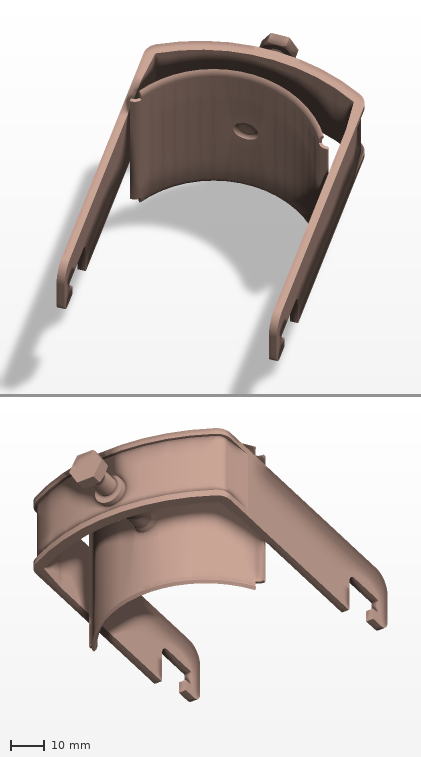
import cadquery as cq
import math


bracket_width = 69.0
bracket_height = 25.0
bracket_z = 2.7
leg_thickness = 2.5
crown_thickness = 3.4
crown_y = 99.7
crown_radius = 65.9
corner_radius = 5.0
inner_corner_radius = 0.7
taper_start_y = 77.3
corner_y = 87.0

web_depth = 1.0
web_height = 20.8

hook_top_radius = 6.0
hook_bottom_radius = 3.5
hook_depth = 19.9
slot_start_y = 4.9
slot_end_y = 21.1
slot_depth = 11.3
slot_radius = 3.0
lip_end_y = 8.0
lip_depth = 16.0
small_radius = 0.5

boss_diameter = 9.5
boss_z = -0.6
boss_top_y = 100.8

shank_diameter = 6.0
tip_diameter = 5.5
head_flats = 10.0
head_height = 4.0
head_top_y = 113.7
tip_y = 80.3

trough_height = 53.4
trough_top_y = 80.4
trough_radius = 33.4
sheet = 1.0
trough_half_angle = 59.0
lip_radius = 2.7
lip_angle = 50.0
foot_width = 62.0
foot_height = 46.8
foot_radius = 2.0
collar_top_y = 81.7
collar_base_y = 79.8
collar_base_diameter = 8.0
recess_mouth_diameter = 8.0
recess_mouth_y = 79.0
recess_floor_y = 80.6

RIGHT_SHOULDER = ">(1, 8, 0)"
LEFT_SHOULDER = ">(-1, 8, 0)"


def arc_point(centre_y, radius, x):
    """Height of the upper half of a circle centred on the Y axis."""
    return centre_y + math.sqrt(radius**2 - x**2)


def strip_outer_face(inset):
    """Solid filling the strip's outer outline, its crown and corners moved in by `inset`."""
    half = bracket_width / 2
    corner_x = half - inset
    radius = crown_radius - inset
    shoulder_y = arc_point(crown_y - crown_radius, radius, corner_x)
    outline = (
        cq.Workplane("XY")
        .moveTo(-half, 0)
        .lineTo(-half, taper_start_y)
        .lineTo(-corner_x, corner_y)
        .lineTo(-corner_x, shoulder_y)
        .threePointArc((0, crown_y - inset), (corner_x, shoulder_y))
        .lineTo(corner_x, corner_y)
        .lineTo(half, taper_start_y)
        .lineTo(half, 0)
        .close()
        .extrude(bracket_height / 2, both=True)
    )
    return outline.edges("|Z").edges(f"{RIGHT_SHOULDER} or {LEFT_SHOULDER}").fillet(corner_radius - inset)


def strip_inside():
    """Space between the legs and under the crown, taller than the strip."""
    half = bracket_width / 2 - leg_thickness
    corner_x = bracket_width / 2 - crown_thickness
    radius = crown_radius - crown_thickness
    shoulder_y = arc_point(crown_y - crown_radius, radius, corner_x)
    space = (
        cq.Workplane("XY")
        .moveTo(-half, 0)
        .lineTo(-half, taper_start_y)
        .lineTo(-corner_x, shoulder_y)
        .threePointArc((0, crown_y - crown_thickness), (corner_x, shoulder_y))
        .lineTo(half, taper_start_y)
        .lineTo(half, 0)
        .close()
        .extrude(bracket_height, both=True)
    )
    return space.edges("|Z").edges(f"{RIGHT_SHOULDER} or {LEFT_SHOULDER}").fillet(inner_corner_radius)


def leg_side_profile():
    """Side outline of the legs, with the hook cut into their ends."""
    top = bracket_height / 2
    profile = (
        cq.Workplane("YZ")
        .moveTo(head_top_y, top)
        .lineTo(hook_top_radius, top)
        .radiusArc((0, top - hook_top_radius), -hook_top_radius)
        .lineTo(0, top - hook_depth + hook_bottom_radius)
        .radiusArc((hook_bottom_radius, top - hook_depth), -hook_bottom_radius)
        .lineTo(lip_end_y, top - hook_depth)
        .lineTo(lip_end_y, top - lip_depth)
        .lineTo(slot_start_y + small_radius, top - lip_depth)
        .radiusArc((slot_start_y, top - lip_depth + small_radius), small_radius)
        .lineTo(slot_start_y, top - slot_depth - small_radius)
        .radiusArc((slot_start_y + small_radius, top - slot_depth), small_radius)
        .lineTo(slot_end_y - slot_radius, top - slot_depth)
        .radiusArc((slot_end_y, top - slot_depth - slot_radius), slot_radius)
        .lineTo(slot_end_y, -top + small_radius)
        .radiusArc((slot_end_y + small_radius, -top), -small_radius)
        .lineTo(head_top_y, -top)
        .close()
    )
    return profile.extrude(bracket_width, both=True)


def y_cylinder(diameter, start_y, end_y, z=0):
    """Cylinder along Y."""
    return (
        cq.Workplane("XZ", origin=(0, start_y, 0))
        .center(0, z)
        .circle(diameter / 2)
        .extrude(start_y - end_y)
    )


def make_bracket():
    """Strip with a sunk web, hooked legs, a boss on the crown and a bore for the screw."""
    outer = strip_outer_face(0)
    rim = outer.cut(strip_outer_face(web_depth))
    web_band = cq.Workplane("XY").box(2 * bracket_width, 3 * head_top_y, web_height)
    strip = outer.cut(strip_inside()).cut(rim.intersect(web_band))
    strip = strip.intersect(leg_side_profile()).translate((0, 0, bracket_z))
    boss = y_cylinder(boss_diameter, crown_y - crown_thickness / 2, boss_top_y, boss_z)
    bore = y_cylinder(shank_diameter, tip_y, head_top_y)
    return strip.union(boss).cut(bore)


def make_sheet():
    """Arched sheet with flared lips along its top and bottom edges."""
    inner = trough_radius - sheet
    outer_bend = lip_radius - sheet
    angle = math.radians(lip_angle)
    half = trough_height / 2
    bend_z = half - lip_radius * math.sin(angle)
    bend_r = inner + lip_radius

    def on_bend(radius, turn):
        return bend_r - radius * math.cos(turn), bend_z + radius * math.sin(turn)

    def mirrored(point):
        return point[0], -point[1]

    inner_mid, inner_tip = on_bend(lip_radius, angle / 2), on_bend(lip_radius, angle)
    outer_mid, outer_tip = on_bend(outer_bend, angle / 2), on_bend(outer_bend, angle)
    section = (
        cq.Workplane("XZ")
        .moveTo(inner, -bend_z)
        .lineTo(inner, bend_z)
        .threePointArc(inner_mid, inner_tip)
        .lineTo(*outer_tip)
        .threePointArc(outer_mid, (trough_radius, bend_z))
        .lineTo(trough_radius, -bend_z)
        .threePointArc(mirrored(outer_mid), mirrored(outer_tip))
        .lineTo(*mirrored(inner_tip))
        .threePointArc(mirrored(inner_mid), (inner, -bend_z))
        .close()
    )
    arch = section.revolve(2 * trough_half_angle, (0, 0, 0), (0, 1, 0))
    arch = arch.rotate((0, 0, 0), (0, 0, 1), 90 - trough_half_angle)
    return arch.translate((0, trough_top_y - trough_radius, 0))


def make_foot():
    """Foot bent outwards from the end of the arch on the +X side."""
    angle = math.radians(trough_half_angle)
    arch_y = trough_top_y - trough_radius
    bend_x = (trough_radius + foot_radius) * math.sin(angle)
    bend_y = arch_y + (trough_radius + foot_radius) * math.cos(angle)

    def on_bend(radius, turn):
        return bend_x - radius * math.sin(turn), bend_y - radius * math.cos(turn)

    outer_radius = foot_radius + sheet
    return (
        cq.Workplane("XY")
        .moveTo(*on_bend(foot_radius, angle))
        .threePointArc(on_bend(foot_radius, angle / 2), on_bend(foot_radius, 0))
        .lineTo(foot_width / 2, bend_y - foot_radius)
        .lineTo(foot_width / 2, bend_y - outer_radius)
        .lineTo(bend_x, bend_y - outer_radius)
        .threePointArc(on_bend(outer_radius, angle / 2), on_bend(outer_radius, angle))
        .close()
        .extrude(foot_height / 2, both=True)
    )


def y_cone(start_diameter, end_diameter, start_y, end_y):
    """Frustum along Y."""
    return cq.Workplane(
        cq.Solid.makeCone(
            start_diameter / 2, end_diameter / 2, end_y - start_y,
            cq.Vector(0, start_y, 0), cq.Vector(0, 1, 0),
        )
    )


def make_screw():
    """Hexagon head screw with a chamfered tip."""
    tip_chamfer = (shank_diameter - tip_diameter) / 2
    head_base_y = head_top_y - head_height
    shank = y_cylinder(shank_diameter, tip_y, head_base_y).faces("<Y").chamfer(tip_chamfer)
    corners = head_flats / math.cos(math.pi / 6)
    head = (
        cq.Workplane("XZ", origin=(0, head_base_y, 0))
        .polygon(6, corners)
        .extrude(-head_height)
    )
    rise = math.tan(math.pi / 6)
    chamfer_cone = y_cone(head_flats, head_flats + 2 * head_height / rise, head_base_y, head_top_y)
    return shank.union(head.intersect(chamfer_cone))


def make_trough_with_screw():
    """Pressure trough carried on the tip of the screw as one body."""
    foot = make_foot()
    trough = make_sheet().union(foot).union(foot.mirror("YZ"))
    collar = y_cone(collar_base_diameter, shank_diameter, collar_base_y, collar_top_y)
    recess = y_cone(recess_mouth_diameter, shank_diameter, recess_mouth_y, recess_floor_y)
    trough = trough.union(collar).cut(recess)
    return trough.union(make_screw())


bracket = make_bracket()
trough_with_screw = make_trough_with_screw()

result = cq.Compound.makeCompound([bracket.val(), trough_with_screw.val()])